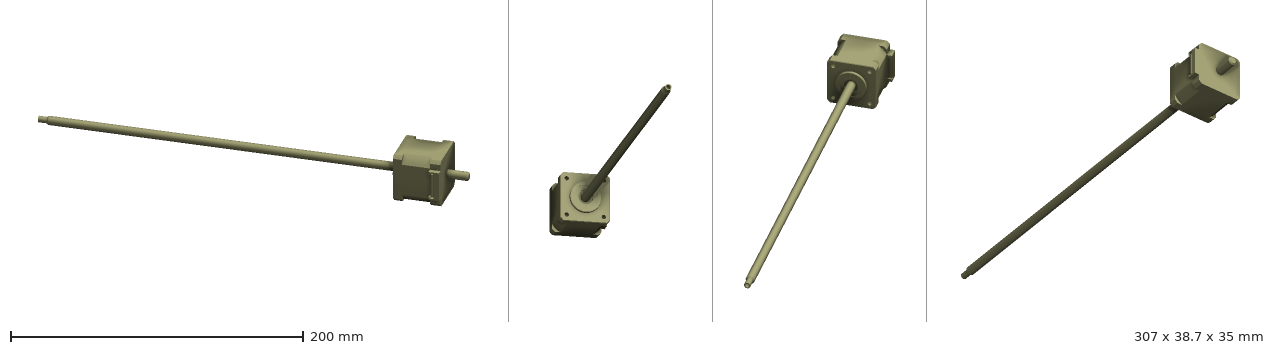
import cadquery as cq


frame_size = 35.0
motor_length = 34.0
flange_length = 6.5
cap_length = 7.5
frame_turned_radius = 23.2
core_turned_radius = 21.0
front_edge_chamfer = 0.5

hole_spacing = 26.0
thread_diameter = 3.0
thread_depth = 4.0
pilot_drill_diameter = 2.2
pilot_drill_depth = 5.0

pilot_diameter = 22.0
pilot_height = 2.0
pilot_edge_chamfer = 0.3
face_recess_diameter = 17.0
face_recess_depth = 0.3
bore_diameter = 10.4
bore_depth = 1.5
bore_step_diameter = 8.6
bore_step_depth = 0.5
slot_width = 0.8
slot_depth = 0.4

total_length = 307.0
rear_shaft_length = 15.5
shaft_diameter = 6.35
rear_shaft_chamfer = 1.0
front_end_x = motor_length + rear_shaft_length - total_length
journal_length = 6.0
journal_diameter = 4.5
shoulder_length = 1.4
tip_hole_diameter = 3.0
tip_hole_depth = 5.0

connector_projection = 3.7
connector_width = 21.5
socket_end_wall = 1.2
socket_front_wall = 0.8
socket_length = 3.0
socket_depth = 3.2
tongue_thickness = 1.0
tongue_end_gap = 0.9
tongue_setback = 0.3

cap_x = motor_length - cap_length


def cylinder_x(x_start, length, diameter):
    return cq.Workplane("YZ", origin=(x_start, 0, 0)).circle(diameter / 2).extrude(length)


def square_block(x_start, length, turned_radius):
    """A square block whose four corners are turned to a common radius about the X axis."""
    block = cq.Workplane("YZ", origin=(x_start, 0, 0)).rect(frame_size, frame_size).extrude(length)
    return block.intersect(cylinder_x(x_start, length, 2 * turned_radius))


def mounting_holes(diameter, depth):
    corners = cq.Workplane("YZ").rect(hole_spacing, hole_spacing, forConstruction=True).vertices()
    return corners.circle(diameter / 2).extrude(depth)


def make_flange():
    flange = square_block(0, flange_length, frame_turned_radius).faces("<X").chamfer(front_edge_chamfer)
    threads = mounting_holes(thread_diameter, thread_depth)
    pilot_drills = mounting_holes(pilot_drill_diameter, pilot_drill_depth)
    return flange.cut(threads).cut(pilot_drills)


def make_core():
    return square_block(flange_length, cap_x - flange_length, core_turned_radius)


def make_cap():
    return square_block(cap_x, cap_length, frame_turned_radius)


def make_pilot():
    pilot = cylinder_x(-pilot_height, pilot_height, pilot_diameter).faces("<X").chamfer(pilot_edge_chamfer)
    recess_floor_x = face_recess_depth - pilot_height
    bore_floor_x = bore_depth - pilot_height
    recess = cylinder_x(-pilot_height, face_recess_depth, face_recess_diameter)
    bore = cylinder_x(recess_floor_x, bore_floor_x - recess_floor_x, bore_diameter)
    bore_step = cylinder_x(bore_floor_x, bore_step_depth, bore_step_diameter)
    slot = (
        cq.Workplane("YZ", origin=(recess_floor_x, 0, 0))
        .rect(slot_width, face_recess_diameter)
        .extrude(slot_depth)
    )
    return pilot.cut(recess).cut(bore).cut(bore_step).cut(slot)


def connector_box(x_start, x_length, y_outer, y_length, z_width):
    """A box centred on Z = 0 that runs from its outer face y_outer towards +Y."""
    box = cq.Workplane("XY").box(x_length, y_length, z_width, centered=(False, False, True))
    return box.translate((x_start, y_outer, 0))


def make_connector():
    y_outer = -frame_size / 2 - connector_projection
    socket_x = cap_x + socket_front_wall
    socket_width = connector_width - 2 * socket_end_wall
    tongue_x = socket_x + (socket_length - tongue_thickness) / 2
    tongue_width = socket_width - 2 * tongue_end_gap

    body = connector_box(cap_x, cap_length, y_outer, connector_projection, connector_width)
    socket = connector_box(socket_x, socket_length, y_outer, socket_depth, socket_width)
    window = connector_box(cap_x, socket_front_wall, y_outer, socket_depth, tongue_width)
    tongue = connector_box(
        tongue_x, tongue_thickness, y_outer + tongue_setback, socket_depth - tongue_setback, tongue_width
    )
    return body.cut(socket).cut(window).union(tongue)


def make_shaft():
    shoulder_x = front_end_x + journal_length
    rear_end_x = front_end_x + total_length
    journal_radius = journal_diameter / 2
    shaft_radius = shaft_diameter / 2
    half_profile = [
        (front_end_x, 0),
        (front_end_x, journal_radius),
        (shoulder_x, journal_radius),
        (shoulder_x + shoulder_length, shaft_radius),
        (rear_end_x - rear_shaft_chamfer, shaft_radius),
        (rear_end_x, shaft_radius - rear_shaft_chamfer),
        (rear_end_x, 0),
    ]
    shaft = cq.Workplane("XZ").polyline(half_profile).close().revolve(360, (0, 0, 0), (1, 0, 0))
    return shaft.cut(cylinder_x(front_end_x, tip_hole_depth, tip_hole_diameter))


result = (
    make_flange()
    .union(make_core())
    .union(make_cap())
    .union(make_pilot())
    .union(make_connector())
    .union(make_shaft())
)